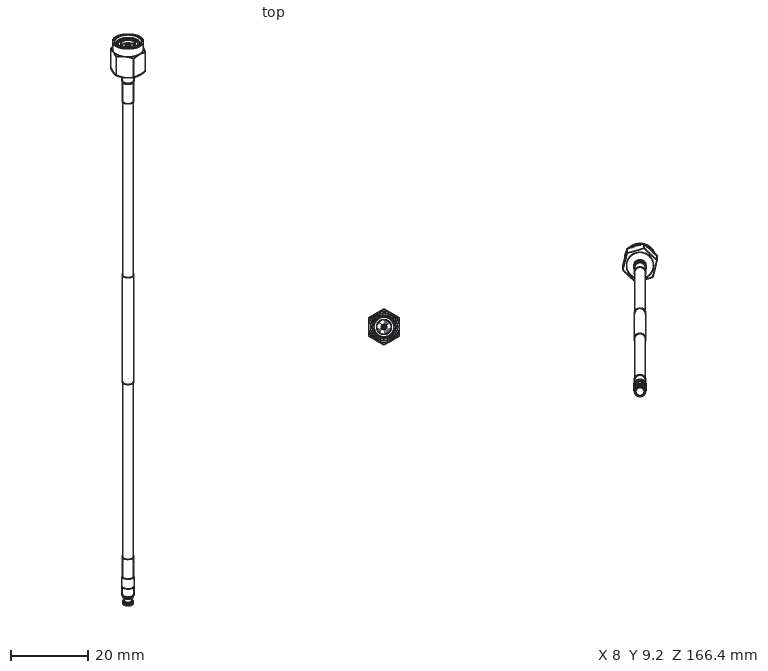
import cadquery as cq
import math

total_length = 166.4

nut_across_flats = 8.0
nut_corner_diameter = 9.2
nut_bottom_z = 157.5
hex_top_z = 164.0
nut_rear_face_diameter = 7.0
nut_chamfer_angle = 30.0
ferrule_diameter = 3.2
ferrule_bottom_z = 154.6
ferrule_chamfer_length = 0.3
ferrule_chamfer_width = 0.2

mouth_diameter = 7.0
socket_diameter = 6.0
socket_depth = 5.0
post_outer_diameter = 5.2
post_inner_diameter = 3.8
post_recess = 0.7
insulator_recess = 1.5
contact_diameter = 1.3
contact_chamfer = 0.3
contact_recess = 0.5

cable_diameter = 2.8
sleeve_diameter = 3.0
band_bottom_z = 65.7
band_top_z = 97.3
sleeve_length = 5.8

barrel_top_z = 8.2
barrel_top_diameter = 3.0
barrel_upper_diameter = 3.3
barrel_lower_diameter = 3.2
shoulder_z = 7.5
barrel_step_z = 5.3
barrel_bottom_z = 2.8
tip_diameter = 2.8
tip_chamfer = 0.3
neck_diameter = 2.0
neck_top_z = 2.0
neck_bottom_z = 1.0


def cylinder(diameter, bottom_z, top_z):
    return cq.Workplane("XY").workplane(offset=bottom_z).circle(diameter / 2).extrude(top_z - bottom_z)


def revolve_profile(points):
    """Turn an outline of (radius, z) points about the Z axis."""
    return cq.Workplane("XZ").polyline(points).close().revolve(360, (0, 0, 0), (0, 1, 0))


def make_hexagon():
    """Hexagonal part of the nut, corners on Y, with both ends turned to cones."""
    slope = math.tan(math.radians(nut_chamfer_angle))
    corner_radius = nut_corner_diameter / 2
    flat_radius = nut_across_flats / 2
    rear_radius = nut_rear_face_diameter / 2
    envelope = revolve_profile([
        (0, nut_bottom_z),
        (rear_radius, nut_bottom_z),
        (corner_radius, nut_bottom_z + (corner_radius - rear_radius) * slope),
        (corner_radius, hex_top_z - (corner_radius - flat_radius) * slope),
        (flat_radius, hex_top_z),
        (0, hex_top_z),
    ])
    prism = (
        cq.Workplane("XY")
        .workplane(offset=nut_bottom_z)
        .polygon(6, nut_across_flats, circumscribed=True)
        .extrude(hex_top_z - nut_bottom_z)
    )
    return prism.intersect(envelope)


def make_socket():
    """Space cut from the nut's mouth: a flared bore around a hollow post with a centre contact."""
    floor_z = total_length - socket_depth
    post_top_z = total_length - post_recess
    flare_depth = (mouth_diameter - socket_diameter) / 2
    bore = cylinder(socket_diameter, floor_z, total_length)
    flare = revolve_profile([
        (0, total_length - flare_depth),
        (socket_diameter / 2, total_length - flare_depth),
        (mouth_diameter / 2, total_length),
        (0, total_length),
    ])
    post = cylinder(post_outer_diameter, floor_z, post_top_z)
    insulator_z = total_length - insulator_recess
    post_bore = cylinder(post_inner_diameter, insulator_z, post_top_z)
    contact = cylinder(contact_diameter, insulator_z, total_length - contact_recess)
    contact = contact.faces(">Z").chamfer(contact_chamfer)
    return bore.union(flare).cut(post.cut(post_bore)).cut(contact)


def make_screw_plug():
    collar = cylinder(nut_across_flats, hex_top_z, total_length)
    ferrule = cylinder(ferrule_diameter, ferrule_bottom_z, nut_bottom_z).faces("<Z or >Z").chamfer(
        ferrule_chamfer_length, ferrule_chamfer_width
    )
    return make_hexagon().union(collar).union(ferrule).cut(make_socket())


def make_cable():
    """Cable between the two plugs, with the marker band as a thicker stretch."""
    core = cylinder(cable_diameter, barrel_top_z, ferrule_bottom_z)
    return core.union(cylinder(sleeve_diameter, band_bottom_z, band_top_z))


def make_sleeve(bottom_z):
    top_z = bottom_z + sleeve_length
    return cylinder(sleeve_diameter, bottom_z, top_z).cut(cylinder(cable_diameter, bottom_z, top_z))


def make_snap_plug():
    barrel = revolve_profile([
        (0, barrel_top_z),
        (barrel_top_diameter / 2, barrel_top_z),
        (barrel_upper_diameter / 2, shoulder_z),
        (barrel_upper_diameter / 2, barrel_step_z),
        (barrel_lower_diameter / 2, barrel_step_z),
        (barrel_lower_diameter / 2, barrel_bottom_z),
        (0, barrel_bottom_z),
    ])
    tip_base = cylinder(tip_diameter, neck_top_z, barrel_bottom_z).faces("<Z").chamfer(tip_chamfer)
    neck = cylinder(neck_diameter, neck_bottom_z, neck_top_z)
    tip = cylinder(tip_diameter, 0, neck_bottom_z).faces("<Z or >Z").chamfer(tip_chamfer)
    return barrel.union(tip_base).union(neck).union(tip)


screw_plug = make_screw_plug()
cable = make_cable()
snap_plug = make_snap_plug()
sleeve_bottoms = [barrel_top_z, ferrule_bottom_z - sleeve_length]
sleeves = [make_sleeve(bottom_z).val() for bottom_z in sleeve_bottoms]

result = cq.Compound.makeCompound([screw_plug.val(), cable.val(), snap_plug.val(), *sleeves])